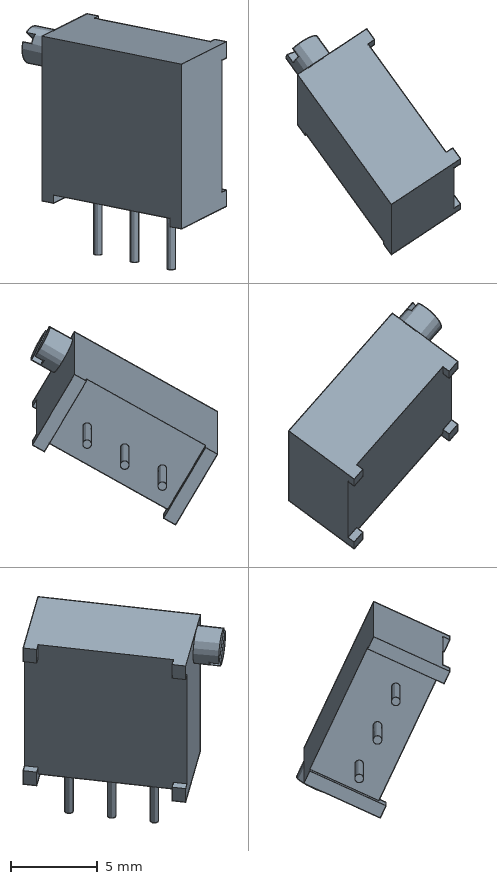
import cadquery as cq

housing_length = 9.5
housing_depth = 4.85
housing_height = 10.0

standoff_length = 0.8
foot_height = 0.5
back_pad_height = 1.0
back_pad_depth = 0.46

screw_diameter = 2.2
screw_projection = 1.5
screw_from_front = 1.32
screw_from_top = 1.15
slot_width = 0.6
slot_depth = 0.6
slot_angle = 40

overall_height = 13.5
pin_diameter = 0.5
pin_count = 3
pin_pitch = 2.5
pin_from_front = 2.46

recess_length = housing_length - 2 * standoff_length
pin_length = overall_height - housing_height + foot_height


def corner_box(length, depth, height, corner):
    """Box whose lowest X, Y and Z corner sits at the given point."""
    return cq.Workplane("XY").box(length, depth, height, centered=False).translate(corner)


def make_housing():
    """Block with two bottom feet and four rectangular pads at the back corners."""
    block = corner_box(housing_length, housing_depth, housing_height, (0, 0, 0))
    back_floor = housing_depth - back_pad_depth

    bottom_recess = corner_box(recess_length, housing_depth, foot_height, (standoff_length, 0, 0))
    upright_recess = corner_box(
        recess_length, back_pad_depth, housing_height, (standoff_length, back_floor, 0)
    )
    level_recess = corner_box(
        housing_length,
        back_pad_depth,
        housing_height - 2 * back_pad_height,
        (0, back_floor, back_pad_height),
    )
    return block.cut(bottom_recess).cut(upright_recess).cut(level_recess)


def make_screw():
    """Screw head with a tilted driver slot across its end face."""
    head = cq.Workplane("YZ").circle(screw_diameter / 2).extrude(-screw_projection)
    slot = (
        cq.Workplane("YZ", origin=(-screw_projection, 0, 0))
        .rect(2 * screw_diameter, slot_width)
        .extrude(slot_depth)
        .rotate((0, 0, 0), (1, 0, 0), -slot_angle)
    )
    return head.cut(slot).translate((0, screw_from_front, housing_height - screw_from_top))


def make_pins():
    """Row of round pins hanging from the floor of the bottom recess."""
    centre = (housing_length / 2, pin_from_front, foot_height)
    return (
        cq.Workplane("XY", origin=centre)
        .rarray(pin_pitch, 0.14, pin_count, 1)
        .circle(pin_diameter / 2)
        .extrude(-pin_length)
    )


result = make_housing().union(make_screw()).union(make_pins())